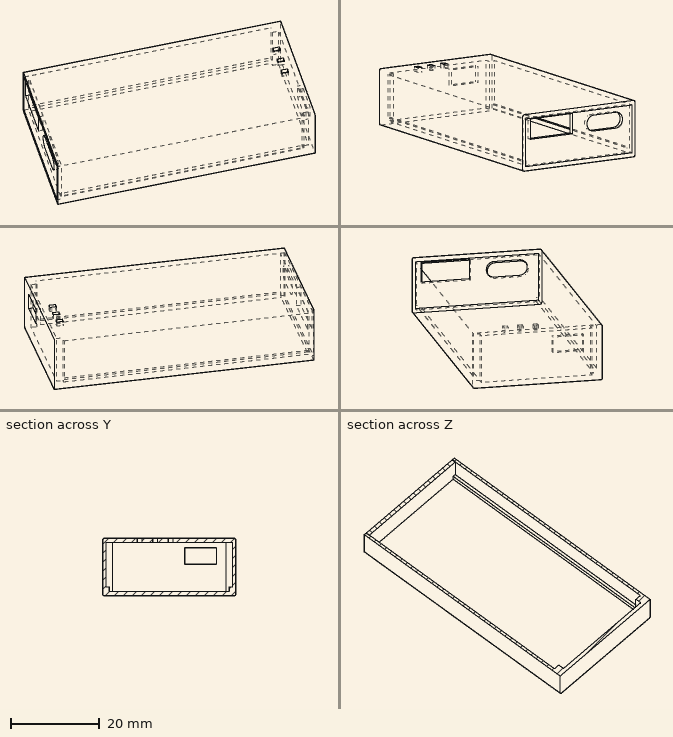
import cadquery as cq

WIDTH = 30.0
LENGTH = 60.0
HEIGHT = 13.0
EDGE_RADIUS = 0.5
SIDE_WALL = 0.8
FLOOR_WALL = 1.0
REAR_WALL = 1.0
CAVITY_WIDTH = WIDTH - 2 * SIDE_WALL
CAVITY_HEIGHT = HEIGHT - 2 * FLOOR_WALL
FRONT_Y = -LENGTH / 2
REAR_Y = LENGTH / 2
CAVITY_FLOOR_Z = -CAVITY_HEIGHT / 2

PLATE_THICKNESS = 1.0

PORT_BOTTOM_Z = 0.65
SLOT_WIDTH = 9.5
SLOT_HEIGHT = 3.65
SLOT_X = 6.9
SOCKET_WIDTH = 11.15
SOCKET_HEIGHT = 4.7
SOCKET_X = -7.3
WINDOW_WIDTH = 7.1
WINDOW_X = 7.1
SLOT_Z = PORT_BOTTOM_Z + SLOT_HEIGHT / 2
SOCKET_Z = PORT_BOTTOM_Z + SOCKET_HEIGHT / 2

RAIL_WIDTH = 0.7
RAIL_HEIGHT = 1.0

POST_SIZE = 1.45

INDICATOR_COUNT = 3
INDICATOR_WIDTH = 1.0
INDICATOR_LENGTH = 1.5
INDICATOR_PITCH = 3.5
INDICATOR_ROW_X = -3.2
INDICATOR_Y = 26.9


def block(width, length, height, x, front_y, z):
    """A box centred on x and z that runs back along +Y from front_y."""
    return cq.Workplane("XY").box(width, length, height).translate((x, front_y + length / 2, z))


def make_case():
    case = block(WIDTH, LENGTH, HEIGHT, 0, FRONT_Y, 0).edges("|Y").fillet(EDGE_RADIUS)
    case = case.cut(block(CAVITY_WIDTH, LENGTH - REAR_WALL, CAVITY_HEIGHT, 0, FRONT_Y, 0))

    rail_length = LENGTH - PLATE_THICKNESS - REAR_WALL
    rail_z = CAVITY_FLOOR_Z + RAIL_HEIGHT / 2
    for side in (-1, 1):
        rail_x = side * (CAVITY_WIDTH - RAIL_WIDTH) / 2
        rail = block(RAIL_WIDTH, rail_length, RAIL_HEIGHT, rail_x, FRONT_Y + PLATE_THICKNESS, rail_z)
        case = case.union(rail)

    for side in (-1, 1):
        post_x = side * (CAVITY_WIDTH - POST_SIZE) / 2
        post_front_y = REAR_Y - REAR_WALL - POST_SIZE
        case = case.union(block(POST_SIZE, POST_SIZE, CAVITY_HEIGHT, post_x, post_front_y, 0))

    case = case.cut(block(WINDOW_WIDTH, REAR_WALL, SLOT_HEIGHT, WINDOW_X, REAR_Y - REAR_WALL, SLOT_Z))

    roof_z = (HEIGHT - FLOOR_WALL) / 2
    hole_front_y = INDICATOR_Y - INDICATOR_LENGTH / 2
    for i in range(INDICATOR_COUNT):
        hole_x = INDICATOR_ROW_X + (i - (INDICATOR_COUNT - 1) / 2) * INDICATOR_PITCH
        hole = block(INDICATOR_WIDTH, INDICATOR_LENGTH, FLOOR_WALL, hole_x, hole_front_y, roof_z)
        case = case.cut(hole)
    return case


def make_front_plate():
    plate = block(CAVITY_WIDTH, PLATE_THICKNESS, CAVITY_HEIGHT, 0, FRONT_Y, 0)

    plate = plate.cut(block(SOCKET_WIDTH, PLATE_THICKNESS, SOCKET_HEIGHT, SOCKET_X, FRONT_Y, SOCKET_Z))

    slot = (
        cq.Workplane("XZ", origin=(SLOT_X, FRONT_Y, SLOT_Z))
        .slot2D(SLOT_WIDTH, SLOT_HEIGHT)
        .extrude(-PLATE_THICKNESS)
    )
    return plate.cut(slot)


case = make_case()
front_plate = make_front_plate()

result = cq.Compound.makeCompound([case.val(), front_plate.val()])